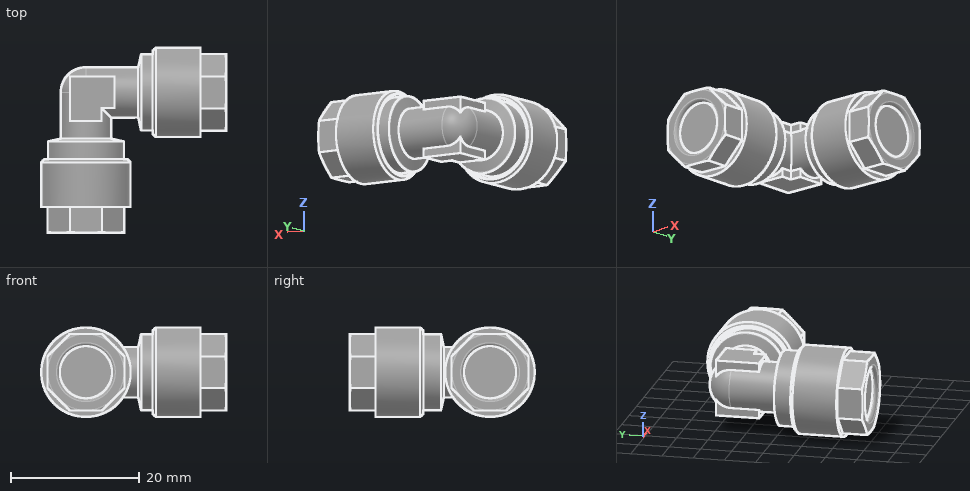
import cadquery as cq
import math

overall_size = 28.9
neck_radius = 3.95
cone_length = 0.5

shoulder_start_along_x = 8.65
shoulder_start_along_y = 7.68
shoulder_radius = 5.95
shoulder_edge_length = 0.1
shoulder_edge_drop = 0.17

body_radius = 7.0
body_start = 10.4
body_end = 17.88
body_chamfer = 0.5
body_mouth_radius = 6.35
body_mouth_depth = 0.5

nut_end = overall_size - body_radius
nut_sides = 8
nut_across_flats = 12.0
nut_face_radius = 5.95
nut_chamfer_angle = 15.0
bore_radius = 4.07
bore_mouth_radius = 4.6
bore_depth = 0.8

block_half_width = 2.45
block_leg_end = 4.45
block_height = 8.95


def revolve_about_x(points):
    """Revolve an (x, radius) outline about the X axis."""
    outline = cq.Workplane("XY").polyline(points).close()
    return outline.revolve(360, (0, 0, 0), (1, 0, 0))


def make_round_body(shoulder_start):
    """Neck, conical shoulder and body, with a tapered recess around the shoulder."""
    return revolve_about_x([
        (0, 0),
        (0, neck_radius),
        (shoulder_start - cone_length, neck_radius),
        (shoulder_start - shoulder_edge_length, shoulder_radius - shoulder_edge_drop),
        (shoulder_start, shoulder_radius),
        (body_start + body_mouth_depth, shoulder_radius),
        (body_start, body_mouth_radius),
        (body_start, body_radius - body_chamfer),
        (body_start + body_chamfer, body_radius),
        (body_end, body_radius),
        (body_end, 0),
    ])


def make_nut():
    """Octagonal nut with its outer corners turned down to a cone."""
    corner_radius = nut_across_flats / 2 / math.cos(math.pi / nut_sides)
    chamfer_length = (corner_radius - nut_face_radius) * math.tan(math.radians(nut_chamfer_angle))
    octagon = (
        cq.Workplane("YZ", origin=(body_end, 0, 0))
        .transformed(rotate=(0, 0, 180 / nut_sides))
        .polygon(nut_sides, 2 * corner_radius)
        .extrude(nut_end - body_end)
    )
    envelope = revolve_about_x([
        (body_end, 0),
        (body_end, corner_radius),
        (nut_end - chamfer_length, corner_radius),
        (nut_end, nut_face_radius),
        (nut_end, 0),
    ])
    return octagon.intersect(envelope)


def make_bore():
    """Blind bore with a convex quarter-round at its mouth."""
    round_radius = bore_mouth_radius - bore_radius
    round_start = nut_end - round_radius
    arc_offset = round_radius * math.sqrt(0.5)
    outline = (
        cq.Workplane("XY")
        .moveTo(nut_end - bore_depth, 0)
        .lineTo(nut_end - bore_depth, bore_radius)
        .lineTo(round_start, bore_radius)
        .threePointArc(
            (round_start + arc_offset, bore_mouth_radius - arc_offset),
            (nut_end, bore_mouth_radius),
        )
        .lineTo(nut_end, 0)
        .close()
    )
    return outline.revolve(360, (0, 0, 0), (1, 0, 0))


def make_wrench_block():
    """L-shaped block with one leg along each arm."""
    return (
        cq.Workplane("XY", origin=(0, 0, -block_height / 2))
        .moveTo(-block_half_width, block_half_width)
        .lineTo(block_leg_end, block_half_width)
        .lineTo(block_leg_end, -block_half_width)
        .lineTo(block_half_width, -block_half_width)
        .lineTo(block_half_width, -block_leg_end)
        .lineTo(-block_half_width, -block_leg_end)
        .close()
        .extrude(block_height)
    )


def make_arm(shoulder_start):
    """Complete fitting arm along +X."""
    return make_round_body(shoulder_start).union(make_nut()).cut(make_bore())


arm_along_x = make_arm(shoulder_start_along_x)
arm_along_minus_y = make_arm(shoulder_start_along_y).rotate((0, 0, 0), (0, 0, 1), -90)
corner_ball = cq.Workplane("XY").sphere(neck_radius)

result = (
    arm_along_x
    .union(arm_along_minus_y)
    .union(corner_ball)
    .union(make_wrench_block())
)